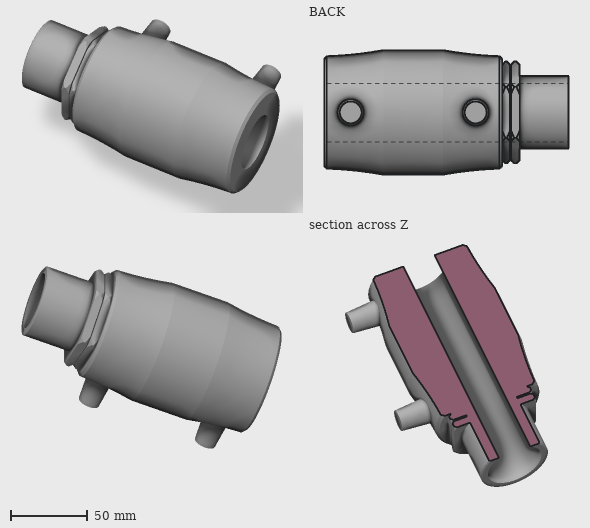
import cadquery as cq
import math

total_length = 161.0
bore_diameter = 38.3

spigot_diameter = 48.0
spigot_chamfer_length = 0.6
spigot_chamfer_depth = 1.1

hex_across_flats = 58.1
hex_face_diameter = 63.0
hex_chamfer = 2.1
first_hex_start = 32.5
first_hex_width = 5.5
hex_gap = 0.8
body_start = 43.8

body_diameter = 82.0
body_end_diameter = 74.0
body_chamfer = 2.0
straight_length = 39.0
flank_arc_radius = 257.6

terminal_projection = 16.1
terminal_tip_diameter = 14.3
terminal_root_diameter = 17.4
terminal_taper_length = 19.5
terminal_inset = 17.5

body_center = (body_start + total_length) / 2
terminal_tip_y = body_diameter / 2 + terminal_projection


def revolve_about_x(profile):
    return profile.close().revolve(360, (0, 0, 0), (1, 0, 0))


def make_spigot():
    """Chamfered tube end that also runs under the collars into the body."""
    radius = spigot_diameter / 2
    return revolve_about_x(
        cq.Workplane("XY")
        .lineTo(0, radius - spigot_chamfer_depth)
        .lineTo(spigot_chamfer_length, radius)
        .lineTo(body_center, radius)
        .lineTo(body_center, 0)
    )


def make_disc(start, width, diameter):
    return cq.Workplane("YZ", origin=(start, 0, 0)).circle(diameter / 2).extrude(width)


def make_hex_collar(start, width):
    """Hexagon with points up and down, its corners chamfered on both faces."""
    corner_diameter = hex_across_flats / math.cos(math.pi / 6)
    prism = (
        cq.Workplane("YZ", origin=(start, 0, 0))
        .transformed(rotate=(0, 0, 90))
        .polygon(6, corner_diameter)
        .extrude(width)
    )
    rounding_disc = (
        make_disc(start, width, hex_face_diameter + 2 * hex_chamfer)
        .faces("<X or >X")
        .chamfer(hex_chamfer)
    )
    return prism.intersect(rounding_disc)


def make_body():
    """Straight middle with concave flanks falling to chamfered ends."""
    end_radius = body_end_diameter / 2
    face_radius = end_radius - body_chamfer
    middle_radius = body_diameter / 2
    left_flank = body_start + body_chamfer
    right_flank = total_length - body_chamfer
    straight_start = body_center - straight_length / 2
    straight_end = body_center + straight_length / 2

    run = straight_start - left_flank
    rise = middle_radius - end_radius
    chord = math.hypot(run, rise)
    sagitta = flank_arc_radius - math.sqrt(flank_arc_radius**2 - (chord / 2) ** 2)
    inset_x = run / 2 + sagitta * rise / chord
    mid_radius = end_radius + rise / 2 - sagitta * run / chord

    return revolve_about_x(
        cq.Workplane("XY")
        .moveTo(body_start, 0)
        .lineTo(body_start, face_radius)
        .lineTo(left_flank, end_radius)
        .threePointArc((left_flank + inset_x, mid_radius), (straight_start, middle_radius))
        .lineTo(straight_end, middle_radius)
        .threePointArc((right_flank - inset_x, mid_radius), (right_flank, end_radius))
        .lineTo(total_length, face_radius)
        .lineTo(total_length, 0)
    )


def make_terminal(x):
    """Tapered pin along +Y, continued into the body wall."""
    root_y = terminal_tip_y - terminal_taper_length
    taper = (terminal_root_diameter - terminal_tip_diameter) / terminal_taper_length
    base_y = (bore_diameter + spigot_diameter) / 4
    base_diameter = terminal_root_diameter + taper * (root_y - base_y)
    return (
        cq.Workplane("XZ", origin=(x, base_y, 0))
        .circle(base_diameter / 2)
        .workplane(offset=base_y - terminal_tip_y)
        .circle(terminal_tip_diameter / 2)
        .loft(ruled=True)
    )


second_hex_start = first_hex_start + first_hex_width + hex_gap

result = make_spigot().union(make_body())
result = result.union(make_hex_collar(first_hex_start, first_hex_width))
result = result.union(make_hex_collar(second_hex_start, body_start - second_hex_start))
for terminal_x in (body_start + terminal_inset, total_length - terminal_inset):
    result = result.union(make_terminal(terminal_x))

result = result.cut(make_disc(0, total_length, bore_diameter))